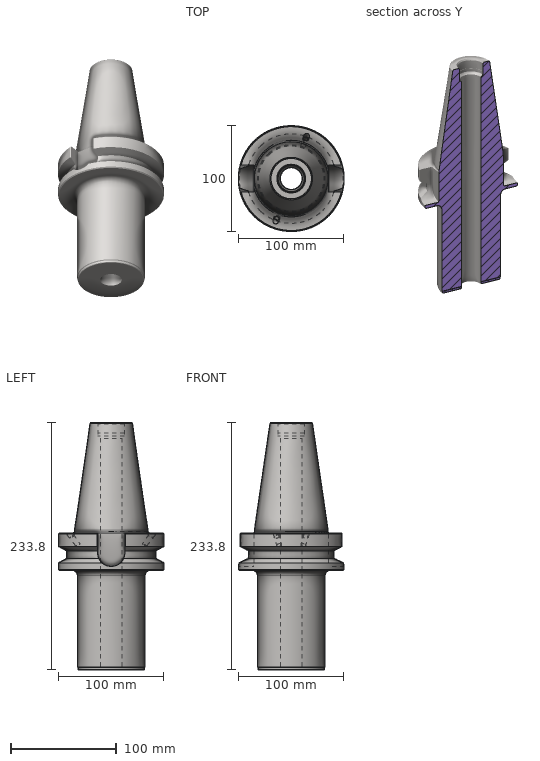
import cadquery as cq
import math

total_height = 233.8
taper_length = 101.7
neck_length = 3.0
gauge_z = total_height - taper_length
flange_top_z = gauge_z - neck_length
flange_bottom_z = 94.0

gauge_radius = 34.8
taper_ratio = 7 / 24
taper_tip_radius = gauge_radius - taper_length * taper_ratio / 2
tip_chamfer = 1.0
neck_fillet = 1.5

flange_radius = 50.0
groove_radius = 42.3
groove_top_z = 116.7
groove_bottom_z = 101.0
groove_slope_height = 4.2
flange_chamfer = 1.0

body_radius = 32.0
body_fillet = 5.0
body_end_chamfer = 0.7

ring_radius = body_radius - body_end_chamfer
ring_height = 2.0
ring_chamfer = 0.5

bore_radius = 10.3
pilot_radius = 12.6
pilot_depth = 9.8
socket_radius = 12.5
socket_depth = 13.0
pilot_chamfer = 1.0
pilot_chamfer_depth = 1.5
funnel_height = socket_radius - bore_radius

keyway_width = 25.7
keyway_floor_x = 35.3
keyway_bottom_z = 97.7
keyway_floor_fillet = 0.7
keyway_edge_chamfer = 0.7

coolant_mouth_radius = 2.8
coolant_mouth_depth = 4.0
coolant_radius = 2.3
coolant_depth = 14.0
coolant_circle_radius = 41.9
coolant_angle = 70.0
coolant_tilt = 37.0

clearance = 11.7


def make_holder_profile():
    """Half section of the turned holder: radius along local x, height along local y."""
    fillet_top_radius = gauge_radius + neck_fillet
    arc_inset = 1 - math.sqrt(0.5)
    neck_mid = (gauge_radius + neck_fillet * arc_inset, flange_top_z + neck_fillet * arc_inset)
    body_mid = (body_radius + body_fillet * arc_inset, flange_bottom_z - body_fillet * arc_inset)
    funnel_top_z = total_height - socket_depth
    return (
        cq.Workplane("XZ")
        .moveTo(bore_radius, ring_height)
        .lineTo(body_radius - body_end_chamfer, ring_height)
        .lineTo(body_radius, ring_height + body_end_chamfer)
        .lineTo(body_radius, flange_bottom_z - body_fillet)
        .threePointArc(body_mid, (body_radius + body_fillet, flange_bottom_z))
        .lineTo(flange_radius - flange_chamfer, flange_bottom_z)
        .lineTo(flange_radius, flange_bottom_z + flange_chamfer)
        .lineTo(flange_radius, groove_bottom_z)
        .lineTo(groove_radius, groove_bottom_z + groove_slope_height)
        .lineTo(groove_radius, groove_top_z - groove_slope_height)
        .lineTo(flange_radius, groove_top_z)
        .lineTo(flange_radius, flange_top_z - flange_chamfer)
        .lineTo(flange_radius - flange_chamfer, flange_top_z)
        .lineTo(fillet_top_radius, flange_top_z)
        .threePointArc(neck_mid, (gauge_radius, flange_top_z + neck_fillet))
        .lineTo(gauge_radius, gauge_z)
        .lineTo(taper_tip_radius + tip_chamfer * taper_ratio / 2, total_height - tip_chamfer)
        .lineTo(taper_tip_radius - tip_chamfer, total_height)
        .lineTo(pilot_radius + pilot_chamfer, total_height)
        .lineTo(pilot_radius, total_height - pilot_chamfer_depth)
        .lineTo(pilot_radius, total_height - pilot_depth)
        .lineTo(socket_radius, total_height - pilot_depth)
        .lineTo(socket_radius, funnel_top_z)
        .lineTo(bore_radius, funnel_top_z - funnel_height)
        .close()
    )


def make_keyway(side):
    """Round-bottomed drive slot cutter on the +X (side = 1) or -X (side = -1) face."""
    radius = keyway_width / 2
    slot_top_z = flange_top_z + clearance
    center_z = keyway_bottom_z + radius
    slot = (
        cq.Workplane("YZ", origin=(side * keyway_floor_x, 0, 0))
        .moveTo(radius, slot_top_z)
        .lineTo(radius, center_z)
        .threePointArc((0, keyway_bottom_z), (-radius, center_z))
        .lineTo(-radius, slot_top_z)
        .close()
        .extrude(side * (flange_radius - keyway_floor_x + clearance))
    )
    floor = "<X" if side > 0 else ">X"
    return slot.faces(floor).edges().fillet(keyway_floor_fillet)


def chamfer_keyway_edges(holder):
    """Break the upright edges where the keyways open through the upper rim of the flange."""
    corner_y = keyway_width / 2
    corner_x = math.sqrt(flange_radius**2 - corner_y**2)
    rim_mid_z = (groove_top_z + flange_top_z - flange_chamfer) / 2
    for x in (corner_x, -corner_x):
        for y in (corner_y, -corner_y):
            edge = cq.selectors.NearestToPointSelector((x, y, rim_mid_z))
            holder = holder.edges("|Z").edges(edge).chamfer(keyway_edge_chamfer)
    return holder


def make_coolant_hole(angle):
    """Stepped hole cutter that enters the flange's top face and leans inward as it goes down."""
    hole_plane = cq.Plane(origin=(0, 0, flange_top_z)).rotated((0, 0, angle))
    mouth = hole_plane.toWorldCoords((coolant_circle_radius, 0, 0))
    drill_plane = cq.Plane(mouth, hole_plane.xDir, hole_plane.zDir).rotated((0, coolant_tilt, 0))
    mouth_hole = (
        cq.Workplane(drill_plane)
        .workplane(offset=-coolant_mouth_depth)
        .circle(coolant_mouth_radius)
        .extrude(coolant_mouth_depth + clearance)
    )
    deep_hole = cq.Workplane(drill_plane).circle(coolant_radius).extrude(-coolant_depth)
    return mouth_hole.union(deep_hole)


def make_holder():
    holder = make_holder_profile().revolve(360, (0, 0, 0), (0, 1, 0))
    for side in (1, -1):
        holder = holder.cut(make_keyway(side))
    holder = chamfer_keyway_edges(holder)
    for angle in (coolant_angle, coolant_angle + 180):
        holder = holder.cut(make_coolant_hole(angle))
    return holder


def make_ring():
    """Thin end ring, bevelled around its lower outer edge."""
    disc = cq.Workplane("XY").circle(ring_radius).extrude(ring_height)
    disc = disc.faces("<Z").edges().chamfer(ring_chamfer)
    return disc.faces(">Z").workplane().circle(bore_radius).cutThruAll()


holder = make_holder()
ring = make_ring()
result = cq.Compound.makeCompound([holder.val(), ring.val()])